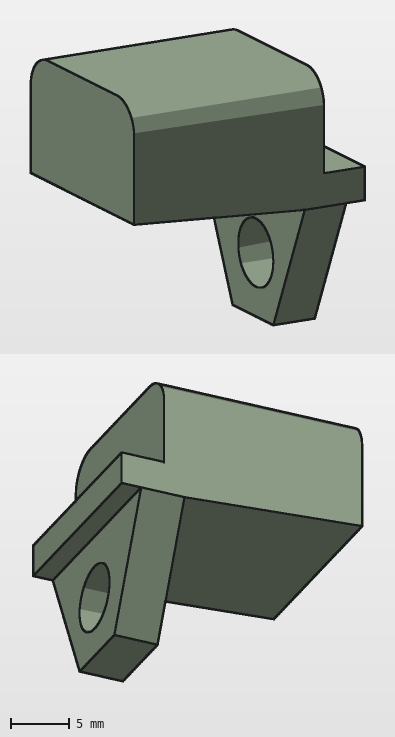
import cadquery as cq

width = 18.0
depth = 22.7
height = 23.6

edge_radius = 3.0
ledge_depth = 4.01
ledge_thickness = 3.0
underside_rise = 1.1

lug_height = 11.7
lug_thickness = 4.08
lug_setback = 1.85
lug_tip_width = 7.08

hole_diameter = 6.1
hole_offset = 0.5
hole_height = 5.7

lug_back = depth - lug_setback
lug_front = lug_back - lug_thickness
ledge_top = lug_height + ledge_thickness
block_back = depth - ledge_depth


def make_block():
    """Side profile extruded across the width, with the two long top edges rounded."""
    side_profile = [
        (0, lug_height + underside_rise),
        (lug_front, lug_height),
        (depth, lug_height),
        (depth, ledge_top),
        (block_back, ledge_top),
        (block_back, height),
        (0, height),
    ]
    block = cq.Workplane("YZ").polyline(side_profile).close().extrude(width / 2, both=True)
    return block.faces(">Z").edges("|Y").fillet(edge_radius)


def make_lug():
    """Trapezoidal plate narrowing downwards, pierced by the hole."""
    front_plane = cq.Workplane("XZ", origin=(0, lug_front, 0))
    outline = [
        (-lug_tip_width / 2, 0),
        (lug_tip_width / 2, 0),
        (width / 2, lug_height),
        (-width / 2, lug_height),
    ]
    plate = front_plane.polyline(outline).close().extrude(-lug_thickness)
    hole = front_plane.center(hole_offset, hole_height).circle(hole_diameter / 2).extrude(-lug_thickness)
    return plate.cut(hole)


result = make_block().union(make_lug())